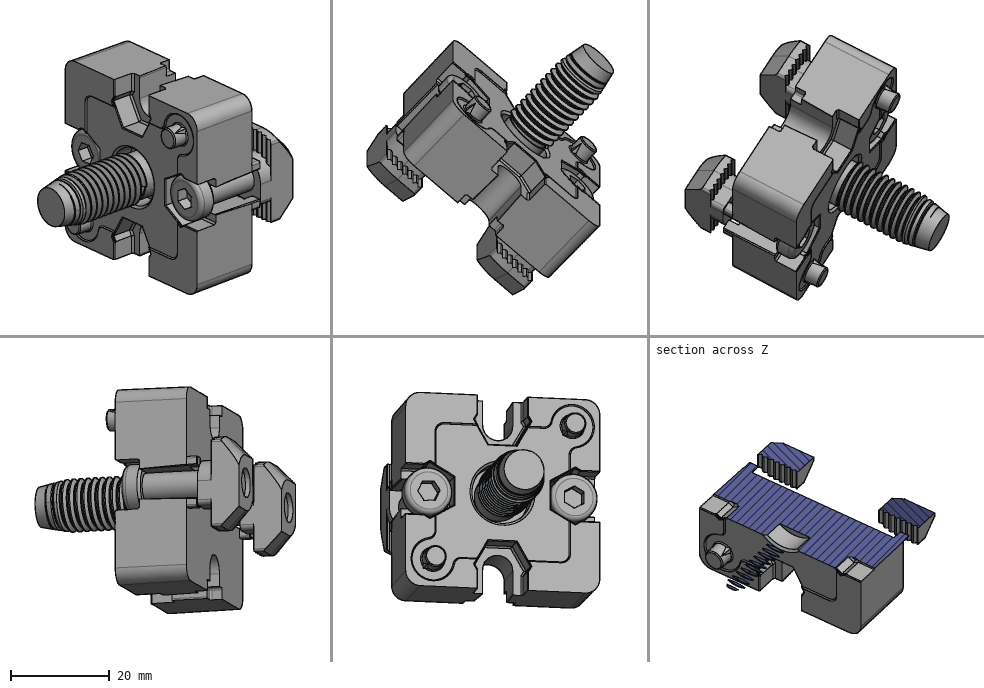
import cadquery as cq
import math


housing_size = 40.05
housing_depth = 15.0
housing_corner_radius = 3.0
housing_draft = 0.5

panel_half_width = 14.0
panel_depth = 0.3
panel_wall_slope = 0.25
panel_corner_radius = 2.0
panel_lobe_radius = 4.5
panel_blend_radius = 1.5

pin_offset = 14.4
pin_base_radius = 2.25
pin_tip_radius = 2.18
pin_root_fillet = 0.25
pin_tip_chamfer = 0.25
pin_height = 3.0
rib_base_reach = 2.75
rib_tip_reach = 2.1
rib_root_radius = 1.8
rib_base_half_width = 1.25
rib_tip_half_width = 0.6

screw_offset = 15.0
pocket_depth = 5.1
pocket_half_flats = 5.0
channel_half_width = 5.15
pocket_mouth_chamfer = 0.2
pocket_floor_chamfer = 0.4
slot_half_width = 3.1
slot_draft = 1.2
slot_flare = 0.3

key_half_width = 5.2
key_fillet = 0.4
tab_height = 2.3
tab_length = 2.35
tab_outer_offset = 19.85
tab_end_chamfer = 0.15
socket_depth = 2.55
socket_length = 2.45

bore_radius = 6.2
bore_depth = pocket_depth
bore_chamfer = 0.5

stud_radius = 5.4
shank_radius = 4.85
thread_root_radius = 4.55
thread_pitch = 1.5
thread_crest_width = 0.25
thread_base_width = 1.3
thread_embed = 0.1
thread_start = 0.6
thread_length = 20.7
shank_end = 0.4
stud_length = 21.7
stud_tip_radius = 4.12
stud_taper_start = 15.5
stud_seat_depth = 10.0

screw_radius = 3.0
screw_length = 20.0
head_radius = 4.87
head_height = 4.0
head_round = 1.0
head_back_chamfer = 0.55
key_across_flats = 4.0
key_depth = 2.5
left_key_angle = -4.0
right_key_angle = 30.0

nut_half_width = 4.9
nut_half_length = 9.52
nut_neck_start = housing_depth + tab_height
nut_wing_start = 20.2
nut_slope_start = 22.25
nut_back = 26.1
nut_slope = nut_back - nut_slope_start
nut_neck_fillet = 1.0
nut_wing_fillet = 0.5
tooth_pitch = 1.4
tooth_groove_width = 1.0
tooth_groove_depth = 0.5
tooth_grooves = 7

overcut = 1.0


def plane_at(depth, x=0, z=0):
    """Sketch plane at a depth, with local x along X and local y along Z; +Y is negative extrusion."""
    return cq.Workplane("XZ", origin=(x, depth, z))


def turned(shape, angle):
    """The shape turned about the housing's Y axis."""
    return shape.rotate((0, 0, 0), (0, 1, 0), angle)


def revolved(profile):
    """Solid of revolution about the Y axis of a profile drawn in XY."""
    return profile.close().revolve(360, (0, 0, 0), (0, 1, 0))



def block():
    outline = plane_at(0).sketch().rect(housing_size, housing_size)
    return outline.vertices().fillet(housing_corner_radius).finalize().extrude(
        -housing_depth, taper=housing_draft)


def panel_recess():
    side = 2 * panel_half_width
    panel = plane_at(0).rect(side, side).extrude(-panel_depth)
    for sign in (1, -1):
        corner = (sign * panel_half_width, 0, -sign * panel_half_width)
        panel = panel.edges("|Y").edges(cq.NearestToPointSelector(corner)).fillet(panel_corner_radius)
    lobes = plane_at(0).pushPoints([(pin_offset, pin_offset), (-pin_offset, -pin_offset)])
    panel = panel.union(lobes.circle(panel_lobe_radius).extrude(-panel_depth))
    lobe_rise = pin_offset - panel_half_width
    meeting = pin_offset - math.sqrt(panel_lobe_radius ** 2 - lobe_rise ** 2)
    for sign in (1, -1):
        for x, z in ((meeting, panel_half_width), (panel_half_width, meeting)):
            corner = (sign * x, panel_depth / 2, sign * z)
            panel = panel.edges("|Y").edges(cq.NearestToPointSelector(corner)).fillet(panel_blend_radius)
    return panel.faces(">Y").edges().chamfer(panel_wall_slope)


def hexagon_stage(near, far, near_growth, far_growth):
    """Hexagonal prism or frustum of the top pocket between two depths."""
    def diameter(growth):
        return 2 * (pocket_half_flats + growth) / math.cos(math.pi / 6)
    start = plane_at(near, z=screw_offset).polygon(6, diameter(near_growth))
    return start.workplane(offset=near - far).polygon(6, diameter(far_growth)).loft(ruled=True)


def channel_stage(near, far, near_growth, far_growth):
    """Length of the channel that opens the top pocket to the housing side."""
    length = housing_size / 2 + overcut - screw_offset
    start = plane_at(near, z=screw_offset + length / 2).rect(2 * (channel_half_width + near_growth), length)
    end = start.workplane(offset=near - far).rect(2 * (channel_half_width + far_growth), length)
    return end.loft(ruled=True)


def top_screw_place():
    """Cutter for one screw place: hexagon pocket, channel and open-ended slot."""
    floor_edge = pocket_depth - pocket_floor_chamfer
    mouth = pocket_mouth_chamfer
    cutter = hexagon_stage(0, floor_edge, 0, 0)
    cutter = cutter.union(channel_stage(0, floor_edge, 0, 0))
    cutter = cutter.union(hexagon_stage(floor_edge, pocket_depth, 0, -pocket_floor_chamfer))
    cutter = cutter.union(channel_stage(floor_edge, pocket_depth, 0, -pocket_floor_chamfer))
    cutter = cutter.union(hexagon_stage(0, mouth, mouth, 0))
    cutter = cutter.union(channel_stage(0, mouth, mouth, 0))
    cutter = cutter.union(hexagon_stage(panel_depth, panel_depth + mouth, mouth, 0))
    slot_end = housing_size / 2 + overcut
    slot = (
        plane_at(pocket_depth)
        .moveTo(-slot_half_width, slot_end)
        .lineTo(-slot_half_width, screw_offset)
        .threePointArc((0, screw_offset - slot_half_width), (slot_half_width, screw_offset))
        .lineTo(slot_half_width, slot_end)
        .close()
        .extrude(-(nut_neck_start - pocket_depth), taper=-slot_draft)
    )
    return cutter.union(slot).union(slot_flare_wedge())


def slot_flare_wedge():
    """Cutter that bevels the slot's outer edges, ever wider toward the back."""
    length = nut_neck_start - pocket_depth
    back_half_width = slot_half_width + length * math.tan(math.radians(slot_draft))
    inner = housing_size / 2 - length * math.tan(math.radians(housing_draft)) - slot_flare
    outer = housing_size / 2 + overcut

    def section(plane, half_width, growth):
        return plane.polyline([(-half_width, inner), (half_width, inner),
                               (half_width + growth, outer), (-half_width - growth, outer)]).close()

    front = section(plane_at(pocket_depth), slot_half_width, 0)
    return section(front.workplane(offset=-length), back_half_width, outer - inner).loft(ruled=True)


def tabs():
    """Interlocking tabs behind the +X side; the screw slot later splits them in two."""
    tab = plane_at(housing_depth, x=tab_outer_offset - tab_length / 2)
    tab = tab.rect(tab_length, 2 * key_half_width).extrude(-tab_height)
    return tab.edges("|Y").fillet(key_fillet).faces(">Y").edges().chamfer(tab_end_chamfer)


def socket():
    """Interlocking socket cut into the back of the top side."""
    length = socket_length + overcut
    centre = housing_size / 2 - socket_length + length / 2
    depth = socket_depth + overcut
    cutter = plane_at(housing_depth - socket_depth, z=centre).rect(2 * key_half_width, length).extrude(-depth)
    return cutter.edges("<Z or (<Y and |Z)").edges("not >Y").fillet(key_fillet)


def bore():
    seat = plane_at(0).circle(shank_radius).extrude(-stud_seat_depth)
    clearance = plane_at(0).circle(bore_radius).extrude(-bore_depth)
    mouth_radius = bore_radius + bore_chamfer
    mouth_end = panel_depth + bore_chamfer
    mouth = cq.Workplane("XY").moveTo(0, panel_depth).lineTo(mouth_radius, panel_depth)
    mouth = revolved(mouth.lineTo(bore_radius, mouth_end).lineTo(0, mouth_end))
    return seat.union(clearance).union(mouth)


def locating_pin():
    """Tapered pin on the Y axis with two crush ribs, rooted in the sunken panel."""
    profile = (
        cq.Workplane("XY")
        .moveTo(0, panel_depth)
        .lineTo(pin_base_radius + pin_root_fillet, panel_depth)
        .radiusArc((pin_base_radius, panel_depth - pin_root_fillet), pin_root_fillet)
        .lineTo(pin_tip_radius, pin_tip_chamfer - pin_height)
        .lineTo(pin_tip_radius - pin_tip_chamfer, -pin_height)
        .lineTo(0, -pin_height)
    )
    pin = revolved(profile)
    rib_end = pin_tip_chamfer - pin_height
    rib = (
        plane_at(panel_depth)
        .polyline([(rib_root_radius, rib_base_half_width), (rib_base_reach, 0),
                   (rib_root_radius, -rib_base_half_width)]).close()
        .workplane(offset=panel_depth - rib_end)
        .polyline([(rib_root_radius, rib_tip_half_width), (rib_tip_reach, 0),
                   (rib_root_radius, -rib_tip_half_width)]).close()
        .loft(ruled=True)
    )
    for angle in (-45, 135):
        pin = pin.union(turned(rib, angle))
    return pin


def make_housing():
    body = block()
    for angle in (0, 180):
        body = body.union(turned(tabs(), angle))
        body = body.cut(turned(socket(), angle))
    body = body.cut(panel_recess()).cut(bore())
    for angle in (0, 90, 180, 270):
        body = body.cut(turned(top_screw_place(), angle))
    for sign in (1, -1):
        body = body.union(locating_pin().translate((sign * pin_offset, 0, sign * pin_offset)))
    return body



def make_stud():
    """Stud with a helical thread, built along +Z and then turned to point along -Y."""
    flank_slope = (thread_base_width - thread_crest_width) / 2 / (stud_radius - thread_root_radius)
    base_radius = thread_root_radius - thread_embed
    base_half = thread_base_width / 2 + thread_embed * flank_slope
    crest_half = thread_crest_width / 2
    mean_radius = (stud_radius + thread_root_radius) / 2
    helix = cq.Wire.makeHelix(thread_pitch, thread_length, mean_radius)
    ridge = (
        cq.Workplane("XZ")
        .polyline([(base_radius, -base_half), (stud_radius, -crest_half),
                   (stud_radius, crest_half), (base_radius, base_half)])
        .close()
        .sweep(cq.Workplane(helix), isFrenet=True)
        .translate((0, 0, thread_start))
    )
    embedded_end = cq.Workplane("XY").workplane(offset=-stud_seat_depth)
    core = embedded_end.circle(thread_root_radius).extrude(stud_seat_depth + stud_length)
    shank = embedded_end.circle(shank_radius).extrude(stud_seat_depth + shank_end)
    cone_slope = (stud_radius - stud_tip_radius) / (stud_length - stud_taper_start)
    envelope_radius = stud_radius + overcut
    cone_start = stud_taper_start - overcut / cone_slope
    envelope = (
        cq.Workplane("XZ")
        .polyline([(0, -stud_seat_depth), (envelope_radius, -stud_seat_depth), (envelope_radius, cone_start),
                   (stud_tip_radius, stud_length), (0, stud_length)])
        .close()
        .revolve(360, (0, 0, 0), (0, 1, 0))
    )
    stud = core.union(ridge).intersect(envelope).union(shank)
    return stud.rotate((0, 0, 0), (1, 0, 0), 90)



def make_screw(key_angle):
    """Socket head screw on the Y axis, its head seated on the pocket floor."""
    head_front = pocket_depth - head_height
    head = plane_at(head_front).circle(head_radius).extrude(-head_height)
    head = head.faces("<Y").edges().fillet(head_round)
    head = head.faces(">Y").edges().chamfer(head_back_chamfer)
    shank = plane_at(pocket_depth).circle(screw_radius).extrude(-screw_length)
    key = plane_at(head_front).polygon(6, key_across_flats / math.cos(math.pi / 6)).extrude(-key_depth)
    return head.union(shank).cut(turned(key, key_angle))



def half_round(length, radius, start, end):
    """Block whose +X+Z and -X-Z quarters are trimmed to a cylinder, so that it can swing into a slot."""
    width = 2 * nut_half_width
    body = plane_at(start).rect(width, 2 * length).extrude(start - end)
    round_limit = plane_at(start).circle(radius).extrude(start - end)
    return body.intersect(round_limit.union(square_quarters(length, start, end)))


def square_quarters(length, start, end):
    """The two quarters of the nut's block that keep their square corners."""
    centre = (nut_half_width / 2, length / 2)
    places = [(-centre[0], centre[1]), (centre[0], -centre[1])]
    return plane_at(start).pushPoints(places).rect(nut_half_width, length).extrude(start - end)


def wing_slopes():
    """Limit for the wings' back: a cone for the round quarters, flat slopes for the square ones."""
    end_length = nut_half_length - nut_slope
    cone = cq.Workplane("XY").moveTo(0, nut_wing_start).lineTo(nut_half_length, nut_wing_start)
    cone = cone.lineTo(nut_half_length, nut_slope_start).lineTo(end_length, nut_back).lineTo(0, nut_back)
    wedge = (
        cq.Workplane("YZ")
        .polyline([(nut_wing_start, -nut_half_length), (nut_slope_start, -nut_half_length),
                   (nut_back, -end_length), (nut_back, end_length),
                   (nut_slope_start, nut_half_length), (nut_wing_start, nut_half_length)])
        .close()
        .extrude(nut_half_width, both=True)
    )
    flat = wedge.intersect(square_quarters(nut_half_length, nut_wing_start, nut_back))
    return revolved(cone).union(flat)


def tooth_groove():
    """V groove along Z in the front of the wings, centred on X = 0."""
    half = tooth_groove_width / 2
    groove = cq.Workplane("XY").polyline([(-half, 0), (half, 0), (0, tooth_groove_depth)]).close()
    return groove.extrude(nut_half_length + overcut, both=True).translate((0, nut_wing_start, 0))


def make_nut():
    """Hammer nut on the Y axis."""
    wings = half_round(nut_half_length, nut_half_length, nut_wing_start, nut_back)
    wings = wings.edges("|Y").edges("<X or >X").fillet(nut_wing_fillet)
    wings = wings.intersect(wing_slopes())
    for index in range(tooth_grooves):
        place = (index - (tooth_grooves - 1) / 2) * tooth_pitch
        wings = wings.cut(tooth_groove().translate((place, 0, 0)))
    neck_end = nut_wing_start + tooth_groove_depth
    neck = half_round(nut_half_width, nut_half_width, nut_neck_start, neck_end)
    for sign in (1, -1):
        corner = (sign * nut_half_width, nut_neck_start, -sign * nut_half_width)
        neck = neck.edges("|Y").edges(cq.NearestToPointSelector(corner)).fillet(nut_neck_fillet)
    hole = plane_at(nut_neck_start).circle(screw_radius).extrude(nut_neck_start - nut_back)
    return wings.union(neck).cut(hole)



housing = make_housing()
stud = make_stud()
bodies = [housing.val(), stud.val()]
for side, angle in ((-1, left_key_angle), (1, right_key_angle)):
    place = (side * screw_offset, 0, 0)
    screw = make_screw(angle).translate(place)
    nut = make_nut().translate(place)
    bodies += [screw.val(), nut.val()]

result = cq.Compound.makeCompound(bodies)